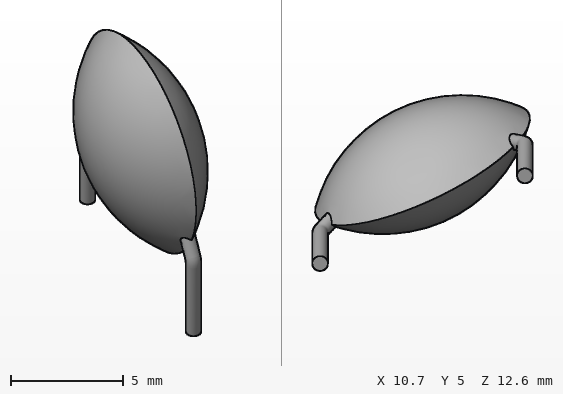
import cadquery as cq
import math

total_height = 12.59
disc_diameter = 10.5
disc_thickness = 5.0

lead_diameter = 0.7
lead_spacing = 10.0
straight_length = 4.04
bend_radius = 0.7
bend_angle = 30.0
slanted_length = 1.76

disc_radius = disc_diameter / 2
disc_center_z = total_height - disc_radius


def lens_body():
    """Lens with a sharp rim and its axis along Y: the overlap of two equal balls."""
    half_thickness = disc_thickness / 2
    ball_radius = (disc_radius**2 + half_thickness**2) / (2 * half_thickness)
    ball_offset = ball_radius - half_thickness
    ball = cq.Workplane("XY").sphere(ball_radius)
    front_ball = ball.translate((0, ball_offset, disc_center_z))
    back_ball = ball.translate((0, -ball_offset, disc_center_z))
    return front_ball.intersect(back_ball)


def left_lead():
    """Round wire: straight up, bent inward, then running into the lens."""
    x = -lead_spacing / 2
    angle = math.radians(bend_angle)

    def bend_point(turn):
        return (
            x + bend_radius * (1 - math.cos(turn)),
            straight_length + bend_radius * math.sin(turn),
        )

    bend_end = bend_point(angle)
    inner_end = (
        bend_end[0] + slanted_length * math.sin(angle),
        bend_end[1] + slanted_length * math.cos(angle),
    )
    path = (
        cq.Workplane("XZ")
        .moveTo(x, 0)
        .lineTo(x, straight_length)
        .threePointArc(bend_point(angle / 2), bend_end)
        .lineTo(*inner_end)
    )
    return cq.Workplane("XY").center(x, 0).circle(lead_diameter / 2).sweep(path)


lead = left_lead()
result = lens_body().union(lead).union(lead.mirror("YZ"))